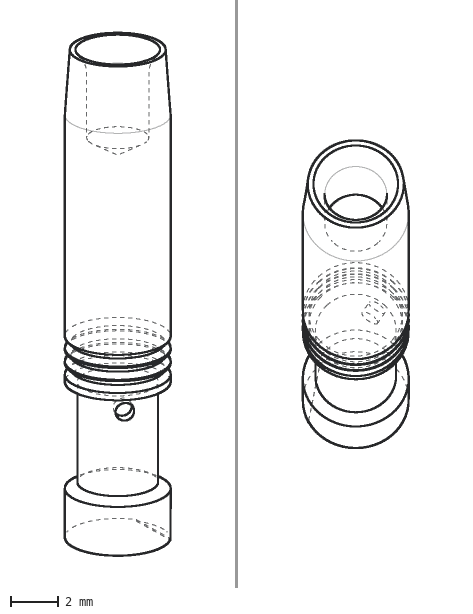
import cadquery as cq
import math

total_length = 22.2
body_diameter = 4.5
neck_diameter = 3.45
body_radius = body_diameter / 2
neck_radius = neck_diameter / 2

lip_height = 0.07
head_edge_height = 2.29
head_top_height = 2.58
collar_bottom_height = 7.13
collar_height = 0.33
taper_start_height = 19.25

tip_diameter = 4.08
tip_radius = tip_diameter / 2

groove_count = 3
groove_pitch = 0.6
crest_width = 0.07

mouth_diameter = 3.6
bore_diameter = 2.65
flare_depth = 1.1
bore_depth = 4.0
drill_point_angle = 118

hole_diameter = 0.8
hole_height = 6.4
hole_depth = 0.6
hole_direction = -22

lip_chord_offset = 1.8


def make_envelope():
    """Turned outside shape, without the grooves."""
    return (
        cq.Workplane("XZ")
        .moveTo(0, lip_height)
        .lineTo(body_radius, lip_height)
        .lineTo(body_radius, head_edge_height)
        .lineTo(neck_radius, head_top_height)
        .lineTo(neck_radius, collar_bottom_height)
        .lineTo(body_radius, collar_bottom_height)
        .lineTo(body_radius, taper_start_height)
        .lineTo(tip_radius, total_length)
        .lineTo(0, total_length)
        .close()
        .revolve(360, (0, 0, 0), (0, 1, 0))
    )


def make_groove(bottom):
    """Ring of 90-degree V section whose lower edge lies at the given height."""
    mouth_width = groove_pitch - crest_width
    depth = mouth_width / 2
    return (
        cq.Workplane("XZ")
        .moveTo(body_radius, bottom)
        .lineTo(body_radius - depth, bottom + depth)
        .lineTo(body_radius, bottom + mouth_width)
        .close()
        .revolve(360, (0, 0, 0), (0, 1, 0))
    )


def make_bore():
    """Flared mouth whose arc runs tangentially into a bore with a drill-point bottom."""
    mouth_radius = mouth_diameter / 2
    bore_radius = bore_diameter / 2
    point_depth = bore_radius / math.tan(math.radians(drill_point_angle / 2))
    bore_bottom = total_length - bore_depth
    return (
        cq.Workplane("XZ")
        .moveTo(0, bore_bottom - point_depth)
        .lineTo(bore_radius, bore_bottom)
        .lineTo(bore_radius, total_length - flare_depth)
        .tangentArcPoint((mouth_radius, total_length), relative=False)
        .lineTo(0, total_length)
        .close()
        .revolve(360, (0, 0, 0), (0, 1, 0))
    )


def make_inspection_hole():
    """Blind radial hole in the neck."""
    return (
        cq.Workplane("YZ", origin=(neck_radius - hole_depth, 0, 0))
        .center(0, hole_height)
        .circle(hole_diameter / 2)
        .extrude(2 * hole_depth)
        .rotate((0, 0, 0), (0, 0, 1), hole_direction)
    )


def make_lip():
    """Thin circular segment on the +Y edge of the head's underside."""
    half_chord = math.sqrt(body_radius**2 - lip_chord_offset**2)
    return (
        cq.Workplane("XY")
        .moveTo(half_chord, lip_chord_offset)
        .threePointArc((0, body_radius), (-half_chord, lip_chord_offset))
        .close()
        .extrude(head_edge_height)
    )


result = make_envelope().union(make_lip())
first_groove_bottom = collar_bottom_height + collar_height
for index in range(groove_count):
    result = result.cut(make_groove(first_groove_bottom + index * groove_pitch))
result = result.cut(make_bore()).cut(make_inspection_hole())